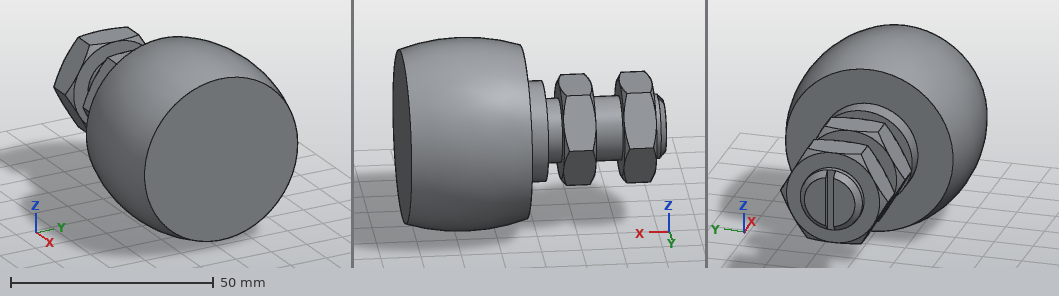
import cadquery as cq
import math

total_length = 65.0

roller_width = 30.0
roller_radius = 48.0 / 2
roller_edge_radius = 43.15 / 2
roller_start = total_length - roller_width
roller_middle = total_length - roller_width / 2

collar_radius = 25.0 / 2
collar_length = 5.0
collar_start = roller_start - collar_length

stud_radius = 16.0 / 2
tip_chamfer = 1.5
slot_width = 2.0
slot_depth = tip_chamfer

nut_across_flats = 24.0
nut_thickness = 8.0
nut_starts = (3.0, 18.0)
nut_corner_radius = nut_across_flats / 2 / math.cos(math.radians(30))
nut_face_radius = nut_across_flats / 2
nut_bevel_angle = 30.0
nut_bevel_length = (nut_corner_radius - nut_face_radius) * math.tan(math.radians(nut_bevel_angle))


def revolve_about_x(profile):
    return profile.close().revolve(360, (0, 0, 0), (1, 0, 0))


def make_roller_stud():
    """Stud, collar and crowned roller as one turned solid with a screwdriver slot."""
    profile = (
        cq.Workplane("XY")
        .moveTo(0, 0)
        .lineTo(0, stud_radius - tip_chamfer)
        .lineTo(tip_chamfer, stud_radius)
        .lineTo(collar_start, stud_radius)
        .lineTo(collar_start, collar_radius)
        .lineTo(roller_start, collar_radius)
        .lineTo(roller_start, roller_edge_radius)
        .threePointArc((roller_middle, roller_radius), (total_length, roller_edge_radius))
        .lineTo(total_length, 0)
    )
    slot = cq.Workplane("XY").box(
        slot_depth, slot_width, 2 * stud_radius, centered=(False, True, True)
    )
    return revolve_about_x(profile).cut(slot).solids()


def make_nut(start):
    """Hexagon nut with corners along Y, bored to the stud and bevelled at both faces."""
    end = start + nut_thickness
    hexagon = (
        cq.Workplane("YZ", origin=(start, 0, 0))
        .polygon(6, 2 * nut_corner_radius)
        .circle(stud_radius)
        .extrude(nut_thickness)
    )
    blank = revolve_about_x(
        cq.Workplane("XY")
        .moveTo(start, 0)
        .lineTo(start, nut_face_radius)
        .lineTo(start + nut_bevel_length, nut_corner_radius)
        .lineTo(end - nut_bevel_length, nut_corner_radius)
        .lineTo(end, nut_face_radius)
        .lineTo(end, 0)
    )
    return hexagon.intersect(blank).solids()


roller_stud = make_roller_stud()
nuts = [make_nut(start) for start in nut_starts]

result = cq.Compound.makeCompound([roller_stud.val(), *[nut.val() for nut in nuts]])